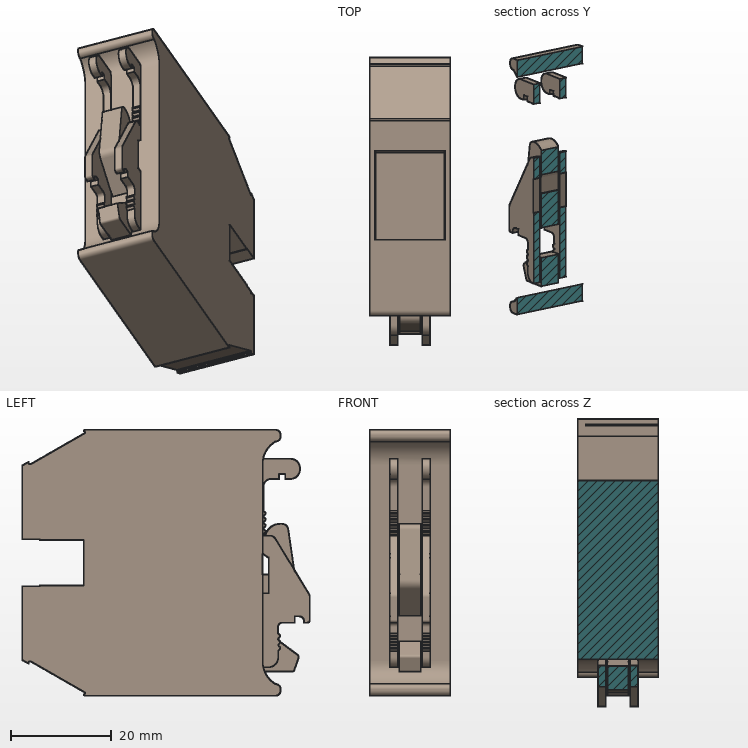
import cadquery as cq
import math


width = 16.0
half_height = 26.4
rear_y = 47.7
cove_radius = 5.3
cove_start_z = 19.5
lip_y = -3.6
lip_radius = 1.05

slot_floor_y = 35.5
slot_half_height = 4.5
slot_mouth_half_height = 4.65
slot_mouth_y = 44.2
shoulder_y = 35.15
shoulder_nose_y = 35.5
shoulder_nose_drop = 0.2
shoulder_step = 0.6
rear_edge_z = 19.3
ridge_y = 46.4
ridge_z = 20.0
groove_y = 46.35
groove_z = 19.6
groove_width = 0.4
score_y = 46.5
score_width = 0.25
score_depth = 0.2
score_margin = 1.6

pocket_width = 14.0
pocket_front_y = 11.5
pocket_rear_y = 29.2
pocket_depth = 0.8
pocket_side_taper = 0.2
pocket_rear_taper = 0.4

plate_thickness = 1.6
plate_offset = 2.4
plate_face_y = -0.2
arm_top_z = 20.65
arm_bottom_z = 16.6
arm_tip_y = -7.45
arm_tip_radius = 1.95
arm_root_radius = 1.5
arm_notch_front_y = -4.5
arm_notch_rear_y = -3.3
arm_notch_top_z = 17.6
upper_teeth_z = 10.3
foot_top_z = 5.4
foot_slope_top_y = -2.15
foot_slope_bottom_z = -6.45
foot_front_y = -9.4
foot_corner_radius = 1.3
foot_bottom_z = -11.9
foot_toe_radius = 0.55
foot_notch_front_y = -8.2
foot_notch_rear_y = -6.4
foot_notch_top_z = -10.65
foot_notch_radius = 0.9
heel_y = -3.1
heel_root_radius = 0.8
lower_teeth_z = -14.0
heel_bottom_z = -20.7
heel_radius = 1.9
window_y = -1.2
window_top_z = 1.8
window_slope_z = 0.95
window_bottom_z = -6.0

tooth_height = 0.4
tooth_pitch = 1.2
tooth_base = 1.1
tooth_tip_start = 0.35
tooth_tip_end = 0.6
upper_tooth_count = 4
lower_tooth_count = 3

centre_width = 4.2
lever_back_radius = 3.05
lever_back_centre_y = -3.5
lever_back_centre_z = 4.7
lever_top_front_y = -4.95
lever_bottom_front_y = -6.75
lever_bottom_front_z = -4.55
lever_top_radius = 1.3
lever_bottom_radius = 1.9
lever_stem_y = -1.3
lever_root_top_z = -2.3
lever_root_bottom_z = -10.5
catch_top_z = -15.6
catch_ramp_y = -3.4
catch_nose_y = -7.3
catch_nose_z = -18.5
catch_bottom_y = -6.2
catch_bottom_z = -21.6
catch_nose_radius = 0.6
catch_bottom_radius = 0.5


def extrude_outline(points, x_start, thickness):
    """Extrude a closed (y, z) outline along +X from x_start."""
    return cq.Workplane("YZ", origin=(x_start, 0, 0)).polyline(points).close().extrude(thickness)


def round_edge(body, y, z, radius):
    """Round the edge along X that passes through (y, z)."""
    reach = 0.05
    box = cq.selectors.BoxSelector((-width, y - reach, z - reach), (width, y + reach, z + reach))
    return body.edges(box).fillet(radius)


def make_housing_half():
    """Upper half of the housing profile, extruded over the full width."""
    lip_centre_y = lip_y + lip_radius
    cove_centre_y = -cove_radius
    cove_end_z = cove_start_z + math.sqrt(cove_radius**2 - (lip_centre_y - cove_centre_y) ** 2)
    cove_angle = math.atan2(cove_end_z - cove_start_z, lip_centre_y - cove_centre_y) / 2
    cove_mid = (
        cove_centre_y + cove_radius * math.cos(cove_angle),
        cove_start_z + cove_radius * math.sin(cove_angle),
    )
    diagonal = lip_radius * math.sqrt(0.5)
    lower_centre_z = cove_end_z + lip_radius
    upper_centre_z = half_height - lip_radius
    return (
        cq.Workplane("YZ", origin=(-width / 2, 0, 0))
        .moveTo(0, 0)
        .lineTo(0, cove_start_z)
        .threePointArc(cove_mid, (lip_centre_y, cove_end_z))
        .threePointArc((lip_centre_y - diagonal, lower_centre_z - diagonal), (lip_y, lower_centre_z))
        .lineTo(lip_y, upper_centre_z)
        .threePointArc((lip_centre_y - diagonal, upper_centre_z + diagonal), (lip_centre_y, half_height))
        .lineTo(shoulder_y, half_height)
        .lineTo(shoulder_nose_y, half_height - shoulder_nose_drop)
        .lineTo(shoulder_y, half_height - shoulder_step)
        .lineTo(groove_y - groove_width, groove_z)
        .lineTo(groove_y, groove_z)
        .lineTo(ridge_y, ridge_z)
        .lineTo(rear_y, rear_edge_z)
        .lineTo(rear_y, slot_mouth_half_height)
        .lineTo(slot_mouth_y, slot_mouth_half_height)
        .lineTo(slot_mouth_y, slot_half_height)
        .lineTo(slot_floor_y, slot_half_height)
        .lineTo(slot_floor_y, 0)
        .close()
        .extrude(width)
    )


def make_pocket():
    """Label pocket: front wall upright, rear and side walls tapering inwards with depth."""
    length = pocket_rear_y - pocket_front_y
    floor_length = length - pocket_rear_taper
    floor_width = pocket_width - 2 * pocket_side_taper
    return (
        cq.Workplane("XY", origin=(0, pocket_front_y, half_height))
        .center(0, length / 2)
        .rect(pocket_width, length)
        .workplane(offset=-pocket_depth)
        .center(0, (floor_length - length) / 2)
        .rect(floor_width, floor_length)
        .loft(ruled=True)
    )


def make_score():
    """Score line in the lower slot face, open at the +X side."""
    length = width - score_margin
    score = cq.Workplane("XY").box(length, score_width, 2 * score_depth)
    return score.translate((score_margin / 2, score_y, -slot_mouth_half_height))


def make_housing():
    upper_half = make_housing_half()
    housing = upper_half.union(upper_half.mirror("XY"))
    return housing.cut(make_pocket()).cut(make_score())


def tooth_points(face_y, top_z, count):
    """Outline points of a row of ratchet teeth, from the top downwards."""
    points = []
    for index in range(count):
        root_z = top_z - index * tooth_pitch
        points += [
            (face_y, root_z),
            (face_y - tooth_height, root_z - tooth_tip_start),
            (face_y - tooth_height, root_z - tooth_tip_end),
            (face_y, root_z - tooth_base),
        ]
    return points


def make_plate():
    """Clip plate on the +X side: hooked arm above, sloped foot below, teeth on both faces."""
    arm = [
        (0, arm_top_z),
        (arm_tip_y, arm_top_z),
        (arm_tip_y, arm_bottom_z),
        (arm_notch_front_y, arm_bottom_z),
        (arm_notch_front_y, arm_notch_top_z),
        (arm_notch_rear_y, arm_notch_top_z),
        (arm_notch_rear_y, arm_bottom_z),
        (plate_face_y, arm_bottom_z),
    ]
    foot = [
        (plate_face_y, foot_top_z),
        (foot_slope_top_y, foot_top_z),
        (foot_front_y, foot_slope_bottom_z),
        (foot_front_y, foot_bottom_z),
        (foot_notch_front_y, foot_bottom_z),
        (foot_notch_front_y, foot_notch_top_z),
        (foot_notch_rear_y, foot_notch_top_z),
        (foot_notch_rear_y, foot_bottom_z),
        (heel_y, foot_bottom_z),
    ]
    heel = [(heel_y, heel_bottom_z), (0, heel_bottom_z)]
    window = [
        (0, window_bottom_z),
        (window_y, window_bottom_z),
        (window_y, window_slope_z),
        (0, window_top_z),
    ]
    upper_teeth = tooth_points(plate_face_y, upper_teeth_z, upper_tooth_count)
    lower_teeth = tooth_points(heel_y, lower_teeth_z, lower_tooth_count)
    outline = arm + upper_teeth + foot + lower_teeth + heel + window
    plate = extrude_outline(outline, plate_offset, plate_thickness)
    rounded_corners = [
        (arm_tip_y, arm_top_z, arm_tip_radius),
        (arm_tip_y, arm_bottom_z, arm_tip_radius),
        (plate_face_y, arm_bottom_z, arm_root_radius),
        (foot_slope_top_y, foot_top_z, foot_corner_radius),
        (foot_front_y, foot_slope_bottom_z, foot_corner_radius),
        (foot_front_y, foot_bottom_z, foot_toe_radius),
        (foot_notch_front_y, foot_notch_top_z, foot_notch_radius),
        (heel_y, foot_bottom_z, heel_root_radius),
        (heel_y, heel_bottom_z, heel_radius),
    ]
    for y, z, radius in rounded_corners:
        plate = round_edge(plate, y, z, radius)
    return plate


def make_lever():
    """Release lever: domed finger tab on a root that joins the front face."""
    back_y = lever_back_centre_y + lever_back_radius
    top_z = lever_back_centre_z + lever_back_radius
    diagonal = lever_back_radius * math.sqrt(0.5)
    lever = (
        cq.Workplane("YZ", origin=(-centre_width / 2, 0, 0))
        .moveTo(0, lever_root_bottom_z)
        .lineTo(0, lever_root_top_z)
        .lineTo(lever_stem_y, lever_root_top_z)
        .lineTo(lever_stem_y, window_slope_z)
        .lineTo(back_y, lever_back_centre_z)
        .threePointArc(
            (lever_back_centre_y + diagonal, lever_back_centre_z + diagonal),
            (lever_back_centre_y, top_z),
        )
        .lineTo(lever_top_front_y, top_z)
        .lineTo(lever_bottom_front_y, lever_bottom_front_z)
        .close()
        .extrude(centre_width)
    )
    lever = round_edge(lever, lever_top_front_y, top_z, lever_top_radius)
    return round_edge(lever, lever_bottom_front_y, lever_bottom_front_z, lever_bottom_radius)


def make_catch():
    """Ramped catch below the lever."""
    outline = [
        (0, catch_top_z),
        (catch_ramp_y, catch_top_z),
        (catch_nose_y, catch_nose_z),
        (catch_bottom_y, catch_bottom_z),
        (0, catch_bottom_z),
    ]
    catch = extrude_outline(outline, -centre_width / 2, centre_width)
    catch = round_edge(catch, catch_nose_y, catch_nose_z, catch_nose_radius)
    return round_edge(catch, catch_bottom_y, catch_bottom_z, catch_bottom_radius)


plate = make_plate()
result = make_housing().union(plate).union(plate.mirror("YZ"))
result = result.union(make_lever()).union(make_catch())